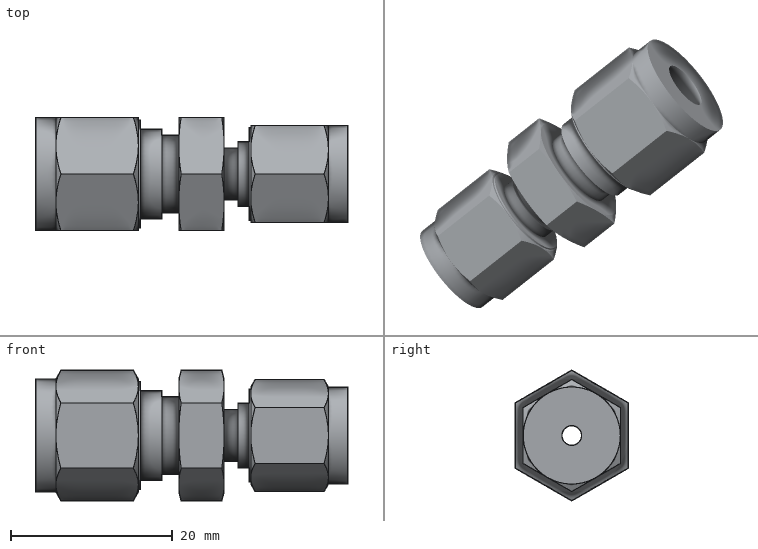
import cadquery as cq
import math

LARGE_RIM_END = 2.5
LARGE_HEX_END = 12.7
LARGE_NUT_END = 12.95
LARGE_THREAD_END = 15.6
LARGE_NECK_END = 17.7
BODY_HEX_END = 23.3
SMALL_NECK_END = 25.0
SMALL_THREAD_END = 26.4
SMALL_NUT_START = 26.6
SMALL_HEX_END = 36.2
TOTAL_LENGTH = 38.6

LARGE_FLATS = 14.0
SMALL_FLATS = 12.0

LARGE_WASHER_DIAMETER = 13.4
LARGE_THREAD_DIAMETER = 11.1
LARGE_NECK_DIAMETER = 9.6
SMALL_NECK_DIAMETER = 6.45
SMALL_THREAD_DIAMETER = 8.0
SMALL_WASHER_DIAMETER = 11.5

FLOW_BORE_DIAMETER = 2.4
TUBE_SOCKET_DIAMETER = 6.0
TUBE_SOCKET_DEPTH = LARGE_THREAD_END

NUT_CHAMFER_ANGLE = 30.0
BODY_CHAMFER_ANGLE = 15.0


def cylinder(diameter, start, end):
    """Solid cylinder on the X axis between two stations."""
    section = cq.Workplane("YZ").workplane(offset=start).circle(diameter / 2)
    return section.extrude(end - start)


def chamfered_hex(flats, start, end, chamfer_angle):
    """Hexagonal prism, corners up and down in Z, with both ends turned to a cone."""
    corner_radius = flats / math.sqrt(3)
    prism = (
        cq.Workplane("YZ")
        .workplane(offset=start)
        .transformed(rotate=(0, 0, 90))
        .polygon(6, 2 * corner_radius)
        .extrude(end - start)
    )
    face_radius = flats / 2
    cone_length = (corner_radius - face_radius) * math.tan(math.radians(chamfer_angle))
    envelope = (
        cq.Workplane("XY")
        .moveTo(start, 0)
        .lineTo(start, face_radius)
        .lineTo(start + cone_length, corner_radius)
        .lineTo(end - cone_length, corner_radius)
        .lineTo(end, face_radius)
        .lineTo(end, 0)
        .close()
        .revolve(360, (0, 0, 0), (1, 0, 0))
    )
    return prism.intersect(envelope)


def large_nut():
    rim = cylinder(LARGE_FLATS, 0, LARGE_RIM_END)
    hexagon = chamfered_hex(LARGE_FLATS, LARGE_RIM_END, LARGE_HEX_END, NUT_CHAMFER_ANGLE)
    washer = cylinder(LARGE_WASHER_DIAMETER, LARGE_HEX_END, LARGE_NUT_END)
    return rim.union(hexagon).union(washer)


def body():
    large_thread = cylinder(LARGE_THREAD_DIAMETER, LARGE_NUT_END, LARGE_THREAD_END)
    large_neck = cylinder(LARGE_NECK_DIAMETER, LARGE_THREAD_END, LARGE_NECK_END)
    hexagon = chamfered_hex(LARGE_FLATS, LARGE_NECK_END, BODY_HEX_END, BODY_CHAMFER_ANGLE)
    small_neck = cylinder(SMALL_NECK_DIAMETER, BODY_HEX_END, SMALL_NECK_END)
    small_thread = cylinder(SMALL_THREAD_DIAMETER, SMALL_NECK_END, SMALL_THREAD_END)
    return large_thread.union(large_neck).union(hexagon).union(small_neck).union(small_thread)


def small_nut():
    washer = cylinder(SMALL_WASHER_DIAMETER, SMALL_THREAD_END, SMALL_NUT_START)
    hexagon = chamfered_hex(SMALL_FLATS, SMALL_NUT_START, SMALL_HEX_END, NUT_CHAMFER_ANGLE)
    rim = cylinder(SMALL_FLATS, SMALL_HEX_END, TOTAL_LENGTH)
    return washer.union(hexagon).union(rim)


def bores():
    flow_bore = cylinder(FLOW_BORE_DIAMETER, 0, TOTAL_LENGTH)
    tube_socket = cylinder(TUBE_SOCKET_DIAMETER, 0, TUBE_SOCKET_DEPTH)
    return flow_bore.union(tube_socket)


result = large_nut().union(body()).union(small_nut()).cut(bores())